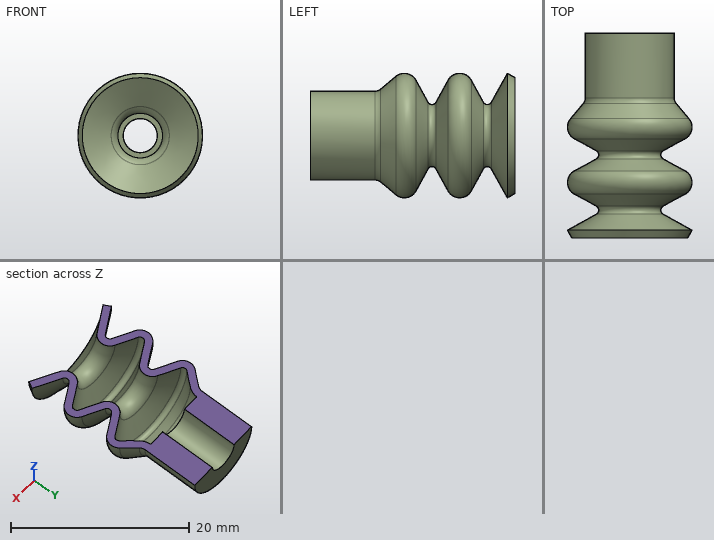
import cadquery as cq
import math

length = 23.0
cup_radius = 14.0 / 2
neck_radius = 10.0 / 2
bore_radius = 3.8 / 2
wall = 1.0

fold_pitch = 6.2
fold_count = 2
first_throat_y = 3.13
throat_radius = 7.0 / 2
throat_round = 0.5
fold_round = 1.5

lip_radius = 13.02 / 2
rim_y = 0.87
neck_start_y = 15.73
neck_round = 1.0


def point_on_round(bend, angle):
    """Point of a round (y, radius, size) in the direction of the angle from the +Y axis."""
    y, radius, size = bend
    return y + size * math.cos(angle), radius + size * math.sin(angle)


def flank_normal(first, second):
    """Outward direction of the straight flank that touches two rounds."""
    y1, radius1, size1 = first
    y2, radius2, size2 = second
    spacing = math.hypot(y2 - y1, radius2 - radius1)
    heading = math.atan2(radius2 - radius1, y2 - y1)
    return heading + math.acos((size1 - size2) / spacing)


def add_bellows_line(outline, start_y, start_radius, rounds):
    """Draw from a sharp corner along every round, ending parallel to the axis on the last one."""
    corner = (start_y, start_radius, 0)
    normals = [flank_normal(a, b) for a, b in zip([corner] + rounds, rounds)]
    normals.append(math.pi / 2)
    for bend, angle_in, angle_out in zip(rounds, normals, normals[1:]):
        outline = outline.lineTo(*point_on_round(bend, angle_in))
        middle = point_on_round(bend, (angle_in + angle_out) / 2)
        outline = outline.threePointArc(middle, point_on_round(bend, angle_out))
    return outline


def bellows_rounds(inset):
    """Rounds of the bellows line as (y, radius, size), moved inward by the inset.

    The first two place the centre; the size is positive on a fold and negative in a hollow.
    """
    rounds = []
    for fold in range(fold_count):
        throat_y = first_throat_y + fold * fold_pitch
        fold_y = throat_y + fold_pitch / 2
        rounds.append((throat_y, throat_radius + throat_round, -throat_round - inset))
        rounds.append((fold_y, cup_radius - fold_round, fold_round - inset))
    rounds.append((neck_start_y, neck_radius + neck_round, -neck_round - inset))
    return rounds


def make_body():
    outline = cq.Workplane("YZ").lineTo(0, lip_radius).lineTo(rim_y, cup_radius)
    outline = add_bellows_line(outline, rim_y, cup_radius, bellows_rounds(0))
    outline = outline.lineTo(length, neck_radius).lineTo(length, 0).close()
    return outline.revolve(360, (0, 0, 0), (1, 0, 0))


def make_cavity():
    """Hollow of constant wall that ends in a flat roof at the start of the neck."""
    outline = cq.Workplane("YZ").lineTo(0, lip_radius)
    outline = add_bellows_line(outline, 0, lip_radius, bellows_rounds(wall))
    outline = outline.lineTo(neck_start_y, 0).close()
    return outline.revolve(360, (0, 0, 0), (1, 0, 0))


def make_bore():
    return cq.Workplane("XZ").circle(bore_radius).extrude(-length)


result = make_body().cut(make_cavity()).cut(make_bore())